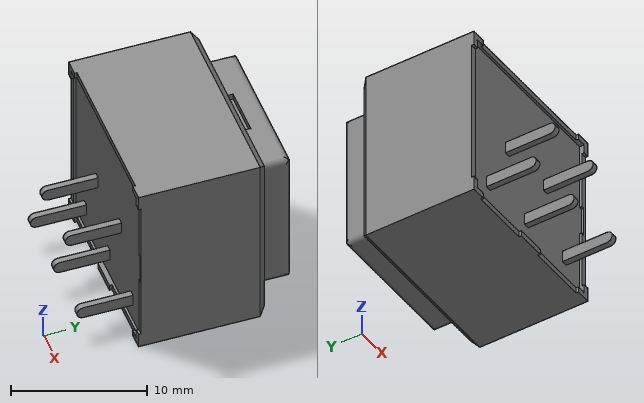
import cadquery as cq

PITCH = 2.54

HOUSING_SIDE = 6 * PITCH
HOUSING_DEPTH = 10.0
HOUSING_CHAMFER = 0.5
WALL = 0.5
FOOT_HEIGHT = 0.2
CORNER_FOOT = PITCH / 2
MIDDLE_FOOT = PITCH
FLOOR_Y = 0.4
KEY_DEPTH = 0.25
KEY_LENGTH = PITCH

BUTTON_SIDE = 12.0
BUTTON_HEIGHT = 2.5
BUTTON_ROUND = 0.5
NOTCH_WIDTH = 3.85
NOTCH_LENGTH = 0.8
NOTCH_DEPTH = 0.5

PIN_THICKNESS = 0.5
PIN_WIDTH = 1.0
PIN_TIP_Y = -3.98
PIN_PLACES = [
    (-2 * PITCH, -2 * PITCH),
    (0, -2 * PITCH),
    (2 * PITCH, -2 * PITCH),
    (-PITCH, 0),
    (PITCH, 0),
]


def block(x_size, y_start, y_end, z_size, x=0, z=0):
    """A box centred on (x, z) that runs along Y from y_start to y_end."""
    y_size = y_end - y_start
    return cq.Workplane("XY").box(x_size, y_size, z_size).translate((x, y_start + y_size / 2, z))


def make_feet():
    """Four corner feet and one in the middle of the -Z edge, before the recess is cut."""
    corner_centre = (HOUSING_SIDE - CORNER_FOOT) / 2
    middle_z = -(HOUSING_SIDE - CORNER_FOOT) / 2
    feet = block(MIDDLE_FOOT, 0, FOOT_HEIGHT, CORNER_FOOT, 0, middle_z)
    for x in (-corner_centre, corner_centre):
        for z in (-corner_centre, corner_centre):
            feet = feet.union(block(CORNER_FOOT, 0, FOOT_HEIGHT, CORNER_FOOT, x, z))
    return feet


def make_housing():
    """Square case with a chamfered button face, and feet around a recessed pin face."""
    case = block(HOUSING_SIDE, FOOT_HEIGHT, HOUSING_DEPTH, HOUSING_SIDE)
    case = case.faces(">Y").chamfer(HOUSING_CHAMFER)
    recess_side = HOUSING_SIDE - 2 * WALL
    recess = block(recess_side, 0, FLOOR_Y, recess_side)
    keyway = block(KEY_DEPTH, 0, FLOOR_Y, KEY_LENGTH, (recess_side + KEY_DEPTH) / 2)
    return case.union(make_feet()).cut(recess).cut(keyway)


def make_button():
    """Square button whose rounded edges meet in mitres, with a notch in its +Z side."""
    button_end = HOUSING_DEPTH + BUTTON_HEIGHT
    blank = block(BUTTON_SIDE, HOUSING_DEPTH, button_end, BUTTON_SIDE)
    button = blank.edges("|Y").fillet(BUTTON_ROUND)
    for axis in ("|X", "|Z"):
        button = button.intersect(blank.faces(">Y").edges(axis).fillet(BUTTON_ROUND))
    notch = block(
        NOTCH_WIDTH,
        HOUSING_DEPTH,
        HOUSING_DEPTH + NOTCH_LENGTH,
        NOTCH_DEPTH,
        0,
        (BUTTON_SIDE - NOTCH_DEPTH) / 2,
    )
    return button.cut(notch)


def make_pin(x, z):
    """Flat pin with a fully rounded tip, standing on the floor of the recess."""
    half_width = PIN_WIDTH / 2
    shoulder_y = PIN_TIP_Y + half_width
    return (
        cq.Workplane("YZ")
        .moveTo(FLOOR_Y, half_width)
        .lineTo(shoulder_y, half_width)
        .threePointArc((PIN_TIP_Y, 0), (shoulder_y, -half_width))
        .lineTo(FLOOR_Y, -half_width)
        .close()
        .extrude(PIN_THICKNESS / 2, both=True)
        .translate((x, 0, z))
    )


housing = make_housing()
button = make_button()
pins = [make_pin(x, z) for x, z in PIN_PLACES]

result = cq.Compound.makeCompound([housing.val(), button.val(), *[pin.val() for pin in pins]])